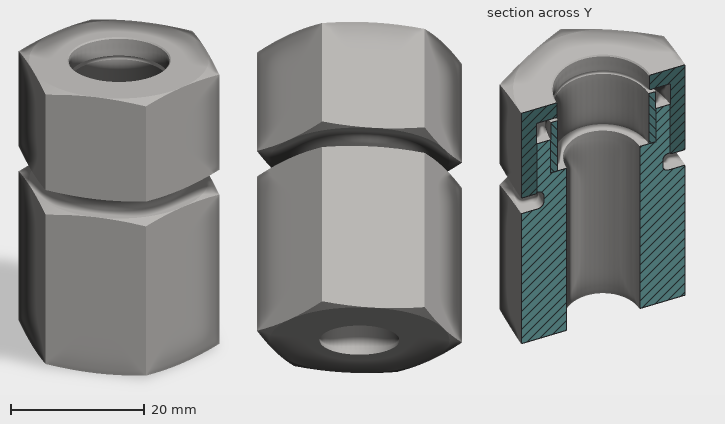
import cadquery as cq
import math


across_flats = 27.0
across_corners = across_flats / math.cos(math.radians(30))
hex_turn = 29.81
hex_chamfer_angle = 15.0
envelope_margin = 1.0

body_hex_height = 26.0
hex_gap = 3.0
nut_height = 17.0
nut_base = body_hex_height + hex_gap
nut_top = nut_base + nut_height

thread_diameter = 22.0
neck_top = nut_top - 7.0
relief_diameter = 19.7
relief_fillet = 1.0
relief_height = 3.25

through_diameter = 12.0
tube_diameter = 15.0
nut_bore_diameter = 15.15
nut_lip_thickness = 3.0
nut_mouth_chamfer = 0.2

ring_diameter = 17.3
ring_length = 10.0
ring_clearance = 0.6
ring_top = nut_top - nut_lip_thickness - ring_clearance
ring_base = ring_top - ring_length


def cylinder(diameter, base, top):
    return cq.Workplane("XY").workplane(offset=base).circle(diameter / 2).extrude(top - base)


def chamfered_hexagon(base, height):
    """Hexagonal prism whose corners are turned down to a cone at both ends."""
    prism = cq.Workplane("XY").polygon(6, across_corners).extrude(height)
    prism = prism.rotate((0, 0, 0), (0, 0, 1), hex_turn)
    face_radius = across_flats / 2
    outer_radius = across_corners / 2 + envelope_margin
    drop = (outer_radius - face_radius) * math.tan(math.radians(hex_chamfer_angle))
    envelope = (
        cq.Workplane("XZ")
        .moveTo(0, 0)
        .lineTo(face_radius, 0)
        .lineTo(outer_radius, drop)
        .lineTo(outer_radius, height - drop)
        .lineTo(face_radius, height)
        .lineTo(0, height)
        .close()
        .revolve(360, (0, 0, 0), (0, 1, 0))
    )
    return prism.intersect(envelope).translate((0, 0, base))


def make_neck():
    """Threaded neck above the body hexagon, with a round-cornered relief at its foot."""
    thread_radius = thread_diameter / 2
    relief_radius = relief_diameter / 2
    corner_radius = relief_radius + relief_fillet
    relief_base = body_hex_height
    relief_top = relief_base + relief_height
    arc_inset = relief_fillet * (1 - math.sqrt(0.5))
    return (
        cq.Workplane("XZ")
        .moveTo(0, relief_base)
        .lineTo(corner_radius, relief_base)
        .threePointArc(
            (relief_radius + arc_inset, relief_base + arc_inset),
            (relief_radius, relief_base + relief_fillet),
        )
        .lineTo(relief_radius, relief_top - relief_fillet)
        .threePointArc(
            (relief_radius + arc_inset, relief_top - arc_inset),
            (corner_radius, relief_top),
        )
        .lineTo(thread_radius, relief_top)
        .lineTo(thread_radius, neck_top)
        .lineTo(0, neck_top)
        .close()
        .revolve(360, (0, 0, 0), (0, 1, 0))
    )


def make_body():
    body = chamfered_hexagon(0, body_hex_height).union(make_neck())
    body = body.cut(cylinder(through_diameter, 0, neck_top))
    ring_seat = cylinder(ring_diameter, ring_base, neck_top)
    return body.cut(ring_seat)


def make_ring():
    ring = cylinder(ring_diameter, ring_base, ring_top)
    return ring.cut(cylinder(tube_diameter, ring_base, ring_top))


def make_nut():
    nut = chamfered_hexagon(nut_base, nut_height)
    nut = nut.cut(cylinder(nut_bore_diameter, nut_base, nut_top))
    mouth_edge = cq.selectors.RadiusNthSelector(0)
    nut = nut.faces(">Z").edges(mouth_edge).chamfer(nut_mouth_chamfer)
    thread_bore = cylinder(thread_diameter, nut_base, nut_top - nut_lip_thickness)
    return nut.cut(thread_bore)


body = make_body()
ring = make_ring()
nut = make_nut()

result = cq.Compound.makeCompound([body.val(), ring.val(), nut.val()])